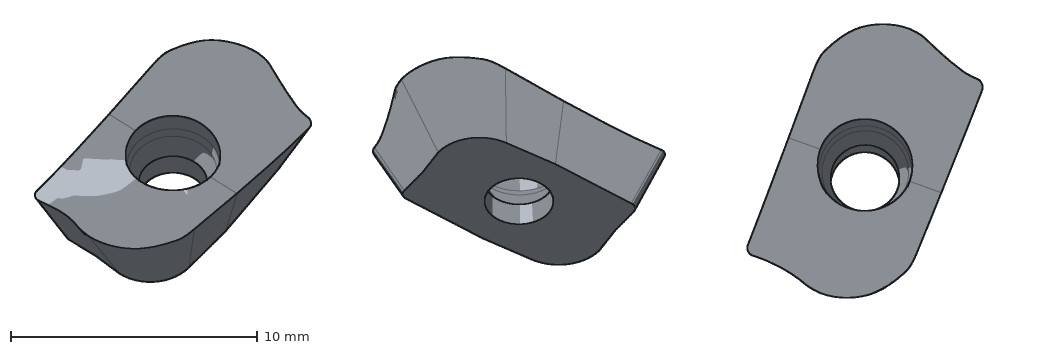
import cadquery as cq
import math

LENGTH = 11.75
WIDTH = 6.64
HEIGHT = 3.6
WAIST_HEIGHT = 2.98
HALF_LENGTH = LENGTH / 2
HALF_WIDTH = WIDTH / 2

NOSE_RADIUS = 3.05
NOSE_X = HALF_WIDTH - NOSE_RADIUS
NOSE_Y = NOSE_RADIUS - HALF_LENGTH
NOSE_SIDE_HEIGHT = 3.4
NOSE_SHOULDER_HEIGHT = 3.54
CORNER_HEIGHT = 2.62
CORNER_RISE = 0.05
CORNER_RADIUS = 0.38
CORNER_END_Y = -5.1

SIDE_SAG = (-HALF_WIDTH, -3.29, 2.65)
END_WAVE = [(-2.12, -5.19, 2.94), (-1.33, -5.4, 3.31), (-0.67, -5.64, 3.54)]
TOP_DIP = (1.41, -1.41, 3.04)

BASE_HALF_WIDTH = 2.7
BASE_HALF_LENGTH = 4.37
BASE_NOSE_RADIUS = 2.0
BASE_NOSE_X = BASE_HALF_WIDTH - BASE_NOSE_RADIUS
BASE_NOSE_Y = BASE_NOSE_RADIUS - BASE_HALF_LENGTH
BASE_CORNER_X = -2.37
BASE_CORNER_END_Y = -4.27
BASE_END_POINT = (-0.9, -4.24, 0)

MOUTH_RADIUS = 1.94
MOUTH_END_RADIUS = 1.88
MOUTH_END_Z = 2.27
SEAT_RADIUS = 1.76
SEAT_Z = 1.94
BORE_RADIUS = 2.8 / 2
BORE_Z = 1.08
SEAT_BULGE = 0.05

DIAGONAL = math.sqrt(0.5)


def smooth(points, start, end):
    """Spline edge through points, with given directions at both ends."""
    vectors = [cq.Vector(*p) for p in points]
    return cq.Edge.makeSpline(vectors, tangents=[cq.Vector(*start), cq.Vector(*end)])


def line(start, end):
    return cq.Edge.makeLine(cq.Vector(*start), cq.Vector(*end))


def arc(start, middle, end):
    return cq.Edge.makeThreePointArc(cq.Vector(*start), cq.Vector(*middle), cq.Vector(*end))


def corner_middle(x, y, radius):
    """Middle of a quarter round that starts at (x, y) on the left side."""
    return x + radius * (1 - DIAGONAL), y - radius * DIAGONAL


def nose_point(degrees, height):
    """Point on the round nose, at an angle from the right side towards the end."""
    angle = math.radians(degrees)
    return NOSE_X + NOSE_RADIUS * math.cos(angle), NOSE_Y - NOSE_RADIUS * math.sin(angle), height


def top_rim():
    """Rim of the -Y half, from the left end of the crease round to its right end."""
    left = (-HALF_WIDTH, 0, WAIST_HEIGHT)
    right = (HALF_WIDTH, 0, WAIST_HEIGHT)
    corner_start = (-HALF_WIDTH, CORNER_END_Y + CORNER_RADIUS, CORNER_HEIGHT)
    corner_mid = (*corner_middle(*corner_start[:2], CORNER_RADIUS), CORNER_HEIGHT + CORNER_RISE / 4)
    corner_end = (-HALF_WIDTH + CORNER_RADIUS, CORNER_END_Y, CORNER_HEIGHT + CORNER_RISE)
    nose_start = (NOSE_X, -HALF_LENGTH, HEIGHT)
    nose = [nose_start, nose_point(67.5, HEIGHT), nose_point(45, HEIGHT)]
    nose.append(nose_point(22.5, NOSE_SHOULDER_HEIGHT))
    nose_end = (HALF_WIDTH, NOSE_Y, NOSE_SIDE_HEIGHT)
    side_slope = (WAIST_HEIGHT - NOSE_SIDE_HEIGHT) / -NOSE_Y
    return [
        smooth([left, SIDE_SAG, corner_start], (0, -1, -0.11), (0, -1, 0)),
        smooth([corner_start, corner_mid, corner_end], (0, -1, 0), (1, 0, 0.15)),
        smooth(
            [corner_end, *END_WAVE, nose_start],
            (1, 0, 0.15),
            (1, -0.1, 0),
        ),
        smooth(nose + [nose_end], (1, 0, 0), (0, 1, side_slope)),
        line(nose_end, right),
    ]


def bottom_outline():
    """Base outline of the -Y half, edge for edge below the rim."""
    left = (-BASE_HALF_WIDTH, 0, 0)
    right = (BASE_HALF_WIDTH, 0, 0)
    corner_start = (BASE_CORNER_X, BASE_CORNER_END_Y + CORNER_RADIUS, 0)
    corner_mid = (*corner_middle(*corner_start[:2], CORNER_RADIUS), 0)
    corner_end = (BASE_CORNER_X + CORNER_RADIUS, BASE_CORNER_END_Y, 0)
    nose_start = (BASE_NOSE_X, -BASE_HALF_LENGTH, 0)
    reach = BASE_NOSE_RADIUS * DIAGONAL
    nose_mid = (BASE_NOSE_X + reach, BASE_NOSE_Y - reach, 0)
    nose_end = (BASE_HALF_WIDTH, BASE_NOSE_Y, 0)
    return [
        line(left, corner_start),
        arc(corner_start, corner_mid, corner_end),
        smooth([corner_end, BASE_END_POINT, nose_start], (1, 0, 0), (1, -0.1, 0)),
        arc(nose_start, nose_mid, nose_end),
        line(nose_end, right),
    ]


def half_faces():
    """Top, wall and base faces of the -Y half."""
    rim = top_rim()
    base = bottom_outline()
    crease = line((HALF_WIDTH, 0, WAIST_HEIGHT), (-HALF_WIDTH, 0, WAIST_HEIGHT))
    base_middle = line((BASE_HALF_WIDTH, 0, 0), (-BASE_HALF_WIDTH, 0, 0))
    walls = [cq.Face.makeRuledSurface(low, high) for low, high in zip(base, rim)]
    top = cq.Face.makeNSidedSurface(rim + [crease], [cq.Vector(*TOP_DIP)])
    bottom = cq.Face.makeFromWires(cq.Wire.assembleEdges(base + [base_middle]))
    return walls + [top, bottom]


def body():
    half = half_faces()
    turned = [face.rotate(cq.Vector(0, 0, 0), cq.Vector(0, 0, 1), 180) for face in half]
    shell = cq.Shell.makeShell(half + turned)
    return cq.Workplane(obj=cq.Solid.makeSolid(shell).fix())


def screw_hole():
    seat_middle = ((SEAT_RADIUS + BORE_RADIUS) / 2 + SEAT_BULGE, (SEAT_Z + BORE_Z) / 2)
    return (
        cq.Workplane("XZ")
        .moveTo(0, 0)
        .lineTo(BORE_RADIUS, 0)
        .lineTo(BORE_RADIUS, BORE_Z)
        .threePointArc(seat_middle, (SEAT_RADIUS, SEAT_Z))
        .lineTo(MOUTH_END_RADIUS, MOUTH_END_Z)
        .lineTo(MOUTH_RADIUS, WAIST_HEIGHT)
        .lineTo(MOUTH_RADIUS, HEIGHT)
        .lineTo(0, HEIGHT)
        .close()
        .revolve(360, (0, 0, 0), (0, 1, 0))
    )


result = body().cut(screw_hole())